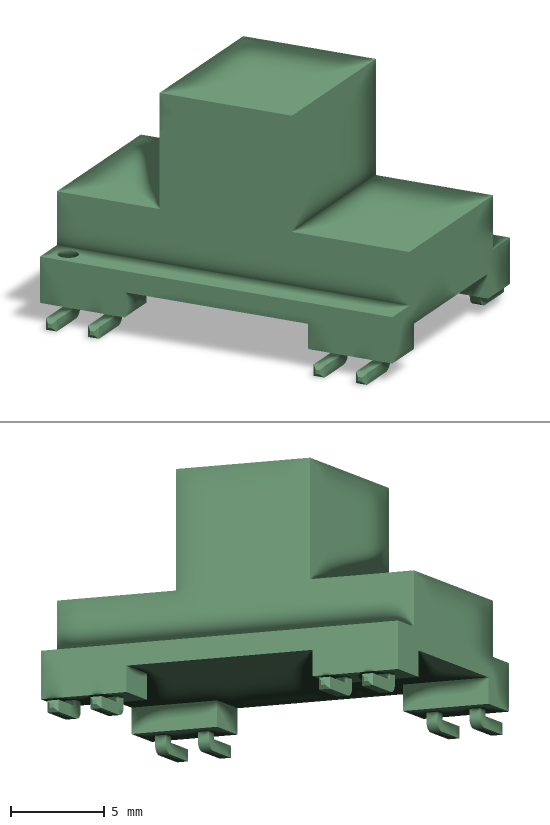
import cadquery as cq

length = 21.2
pin_span = 16.75
height = 13.35

base_bottom = 1.0
recess_top = 2.44
base_top = 3.65
shoulder_top = 6.72

base_width = 14.03
core_width = 10.0
tower_length = 7.97
tower_offset = -0.45
foot_length = 5.09
recess_width = 8.84

mark_diameter = 1.17
mark_depth = 0.5
mark_from_end = 1.19

pin_size = 0.65
pin_bend_radius = 0.53
pin_tip_inset = 0.21
pin_tip_length = 0.2
pin_columns = (6.78, 9.32)

foot_width = (base_width - recess_width) / 2
pin_leg_y = (base_width - foot_width) / 2
mark_y = -(base_width + core_width) / 4


def block(size_x, size_y, bottom, top):
    """Box centred on the Z axis between two levels."""
    return (
        cq.Workplane("XY")
        .workplane(offset=bottom)
        .rect(size_x, size_y)
        .extrude(top - bottom)
    )


def make_body():
    """Stepped body standing on four corner feet, with an index mark."""
    body = block(length, base_width, base_bottom, base_top)
    body = body.union(block(length, core_width, base_top, shoulder_top))
    tower = block(tower_length, core_width, shoulder_top, height)
    body = body.union(tower.translate((tower_offset, 0, 0)))

    body = body.cut(block(length - 2 * foot_length, base_width, base_bottom, recess_top))
    body = body.cut(block(length, recess_width, base_bottom, recess_top))

    mark = (
        cq.Workplane("XY")
        .workplane(offset=base_top - mark_depth)
        .center(mark_from_end - length / 2, mark_y)
        .circle(mark_diameter / 2)
        .extrude(mark_depth)
    )
    return body.cut(mark)


def make_pin():
    """L-shaped pin at X = 0, bent outward along +Y with a tapered tip."""
    inner_face = pin_leg_y - pin_size / 2
    taper_start = pin_span / 2 - pin_tip_length
    tip_size = pin_size - 2 * pin_tip_inset

    leg = (
        cq.Workplane("XY")
        .box(pin_size, pin_size, base_bottom, centered=(True, False, False))
        .translate((0, inner_face, 0))
    )
    arm = (
        cq.Workplane("XY")
        .box(pin_size, taper_start - inner_face, pin_size, centered=(True, False, False))
        .translate((0, inner_face, 0))
    )
    bent = leg.union(arm).edges("|X and <Y and <Z").fillet(pin_bend_radius)

    tip = (
        cq.Workplane("XZ", origin=(0, taper_start, pin_size / 2))
        .rect(pin_size, pin_size)
        .workplane(offset=-pin_tip_length)
        .rect(tip_size, tip_size)
        .loft()
    )
    return bent.union(tip)


result = make_body()
back_pin = make_pin()
front_pin = back_pin.mirror("XZ")
for column in pin_columns:
    for x in (-column, column):
        result = result.union(back_pin.translate((x, 0, 0)))
        result = result.union(front_pin.translate((x, 0, 0)))